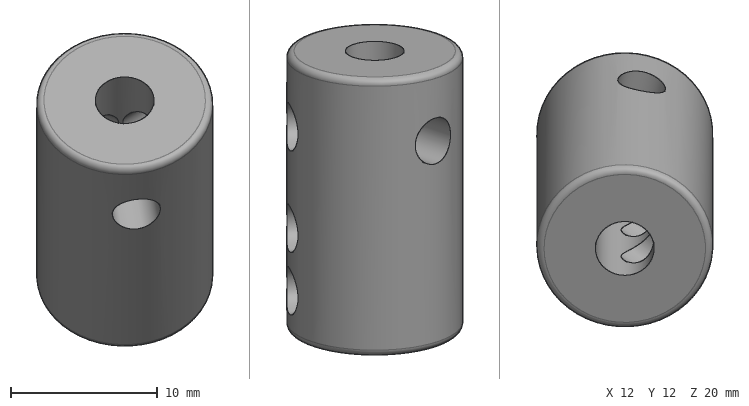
import cadquery as cq

length = 20.0
outer_diameter = 12.0
bore_diameter = 4.0
edge_radius = 0.5

screw_hole_diameter = 3.3
upper_hole_height = 15.0
upper_hole_angles = (60, 180, 300)
lower_hole_heights = (3.2, 7.7)
lower_hole_angle = 180


def collar_body():
    """Cylinder with rounded end edges and a through bore."""
    body = cq.Workplane("XY").circle(outer_diameter / 2).extrude(length)
    body = body.edges("%CIRCLE").fillet(edge_radius)
    bore = cq.Workplane("XY").circle(bore_diameter / 2).extrude(length)
    return body.cut(bore)


def radial_hole(height, angle):
    """Cutter from the axis outward, turned by angle in degrees from +X about Z."""
    cutter = cq.Workplane("YZ").center(0, height).circle(screw_hole_diameter / 2).extrude(outer_diameter)
    return cutter.rotate((0, 0, 0), (0, 0, 1), angle)


result = collar_body()

for hole_angle in upper_hole_angles:
    result = result.cut(radial_hole(upper_hole_height, hole_angle))

for hole_height in lower_hole_heights:
    result = result.cut(radial_hole(hole_height, lower_hole_angle))